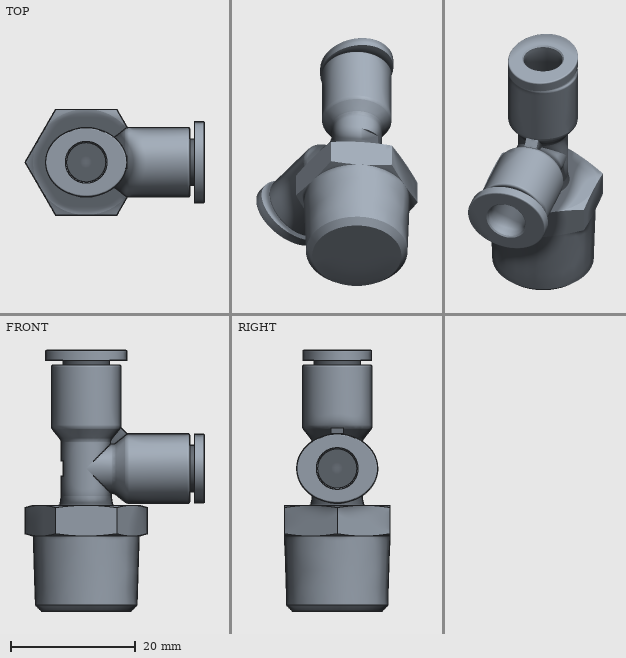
import cadquery as cq
import math

total_height = 41.85
arm_reach = 18.95
branch_z = total_height - arm_reach

thread_top_radius = 8.5
thread_tip_radius = 7.15
thread_chamfer_height = 1.0
thread_taper = 1 / 32

hex_across_flats = 17.0
hex_bottom_z = 12.05
hex_top_z = 17.0
hex_height = hex_top_z - hex_bottom_z
hex_corner_radius = hex_across_flats / math.sqrt(3)
hex_bevel_drop = 0.38

stem_radius = 4.0
flare_top_z = 18.4
flare_radius = 4.23
foot_round = 0.15
flat_height = 2.43
flat_depth = 0.35

cone_start = 4.5
cone_end = 6.53
cone_blend = 0.9
cup_radius = 5.6
cup_end = 16.6
cup_round = 0.38
neck_radius = 3.75

collar_start = 17.33
collar_length_across = 13.0
collar_width_across = 11.05
collar_round = 0.2

socket_radius = 3.15
socket_depth = 12.15
socket_chamfer = 0.2

web_thickness = 2.0


def make_thread():
    tip_edge_radius = thread_top_radius - thread_taper * (hex_bottom_z - thread_chamfer_height)
    return (
        cq.Workplane("XZ")
        .polyline([
            (0, 0),
            (thread_tip_radius, 0),
            (tip_edge_radius, thread_chamfer_height),
            (thread_top_radius, hex_bottom_z),
            (0, hex_bottom_z),
        ])
        .close()
        .revolve(360, (0, 0), (0, 1))
    )


def make_hexagon():
    prism = (
        cq.Workplane("XY", origin=(0, 0, hex_bottom_z))
        .polygon(6, 2 * hex_corner_radius)
        .extrude(hex_height)
    )
    bevel_envelope = (
        cq.Workplane("XZ")
        .polyline([
            (0, hex_bottom_z),
            (hex_across_flats / 2, hex_bottom_z),
            (hex_corner_radius, hex_bottom_z + hex_bevel_drop),
            (hex_corner_radius, hex_top_z - hex_bevel_drop),
            (hex_across_flats / 2, hex_top_z),
            (0, hex_top_z),
        ])
        .close()
        .revolve(360, (0, 0), (0, 1))
    )
    return prism.intersect(bevel_envelope)


def make_stem():
    foot_round_top_z = hex_top_z + foot_round
    return (
        cq.Workplane("XZ")
        .moveTo(0, hex_top_z)
        .lineTo(flare_radius + foot_round, hex_top_z)
        .radiusArc((flare_radius, foot_round_top_z), foot_round)
        .lineTo(stem_radius, flare_top_z)
        .lineTo(stem_radius, branch_z)
        .lineTo(0, branch_z)
        .close()
        .revolve(360, (0, 0), (0, 1))
    )


def make_arm():
    """Tube arm along +Z, starting at the origin, with its oval collar long in X."""
    body = (
        cq.Workplane("XY")
        .circle(stem_radius)
        .extrude(cone_start)
        .union(
            cq.Workplane("XZ")
            .polyline([
                (0, cone_start),
                (stem_radius, cone_start),
                (cup_radius, cone_end),
                (cup_radius, cup_end),
                (0, cup_end),
            ])
            .close()
            .revolve(360, (0, 0), (0, 1))
        )
    )
    cone_zone = cq.selectors.BoxSelector(
        (-2 * cup_radius, -2 * cup_radius, cone_start / 2),
        (2 * cup_radius, 2 * cup_radius, (cone_end + cup_end) / 2),
    )
    body = body.edges("%CIRCLE").edges(cone_zone).fillet(cone_blend)
    body = body.faces(">Z").edges().fillet(cup_round)
    neck = (
        cq.Workplane("XY", origin=(0, 0, cup_end))
        .circle(neck_radius)
        .extrude(collar_start - cup_end)
    )
    collar = (
        cq.Workplane("XY", origin=(0, 0, collar_start))
        .ellipse(collar_length_across / 2, collar_width_across / 2)
        .extrude(arm_reach - collar_start)
        .faces(">Z").edges().fillet(collar_round)
    )
    return body.union(neck).union(collar)


def make_socket():
    """Blind tube socket of an arm along +Z, with a chamfered mouth."""
    mouth_radius = socket_radius + socket_chamfer
    return (
        cq.Workplane("XZ")
        .polyline([
            (0, arm_reach - socket_depth),
            (socket_radius, arm_reach - socket_depth),
            (socket_radius, arm_reach - socket_chamfer),
            (mouth_radius, arm_reach),
            (0, arm_reach),
        ])
        .close()
        .revolve(360, (0, 0), (0, 1))
    )


def place_upright(shape):
    return shape.translate((0, 0, branch_z))


def place_sideways(shape):
    """Turn an arm from +Z to +X, with its collar long in Y."""
    turned = shape.rotate((0, 0, 0), (0, 0, 1), 90).rotate((0, 0, 0), (0, 1, 0), 90)
    return turned.translate((0, 0, branch_z))


def make_web():
    return (
        cq.Workplane("XZ", origin=(0, 0, branch_z))
        .polyline([
            (0, 0),
            (cone_end, 0),
            (cone_end, cup_radius),
            (cup_radius, cone_end),
            (0, cone_end),
        ])
        .close()
        .extrude(web_thickness / 2, both=True)
    )


def make_flat_cutter():
    return (
        cq.Workplane("XY", origin=(-stem_radius, 0, branch_z))
        .box(2 * flat_depth, 2 * stem_radius, flat_height)
    )


result = make_thread().union(make_hexagon()).union(make_stem())
for place in (place_upright, place_sideways):
    result = result.union(place(make_arm()))
result = result.union(make_web()).cut(make_flat_cutter())
for place in (place_upright, place_sideways):
    result = result.cut(place(make_socket()))